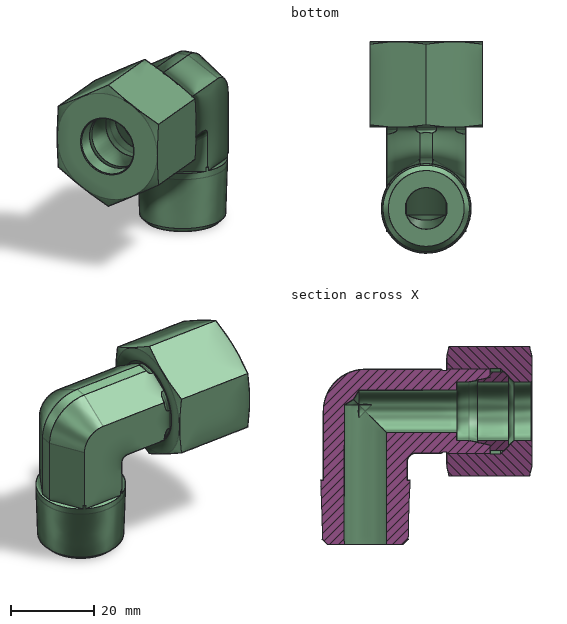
import cadquery as cq
import math


hexagon_half_angle = 30

body_flats = 19.0
waste_radius = body_flats
crown_height = 10.1
inner_corner_fillet = 2.0
bore_diameter = 10.0
bore_overrun = 1.5
drill_tip_angle = 118.0

collar_diameter = 21.5
collar_top = -16.5
collar_height = 1.5
leg_bottom = -32.05
thread_taper = 1 / 16
thread_chamfer = 1.25
corner_relief_height = 1.0

tube_diameter = 14.0
tube_stop = -22.0
stub_end = -30.0
stub_diameter = 20.35
neck_diameter = 19.7
neck_start = -18.9
neck_fillet = 1.0
seat_mouth_diameter = 16.2
seat_half_angle = 12.0

nut_flats = 27.0
nut_face = -40.0
nut_length = 20.5
nut_back = nut_face + nut_length
nut_face_diameter = 26.9
nut_chamfer_angle = 15.0
nut_mouth_chamfer = 0.2
nut_bore_depth = 4.35

ring_face_diameter = 16.5
ring_diameter = 19.0
ring_nose_length = 3.05


def turned_about_y(points):
    """Solid of revolution about the Y axis from (radius, y) points."""
    return cq.Workplane("XY").polyline(points).close().revolve(360, (0, 0, 0), (0, 1, 0))


def turned_about_z(points):
    """Solid of revolution about the Z axis from (radius, z) points."""
    return cq.Workplane("XZ").polyline(points).close().revolve(360, (0, 0, 0), (0, 1, 0))


def hexagon_diameter(flats):
    """Diameter across the corners of a hexagon with the given width across flats."""
    return flats / math.cos(math.radians(hexagon_half_angle))


def make_legs():
    """Two legs of truncated hexagonal section joined by a quarter-turn bend."""
    half_width = body_flats / 2
    corner = hexagon_diameter(body_flats) / 2
    flank = corner / 2
    crown_half_width = (corner - crown_height) / math.tan(math.radians(hexagon_half_angle))
    outer_half = [
        (half_width, flank),
        (crown_half_width, crown_height),
        (-crown_half_width, crown_height),
        (-half_width, flank),
    ]
    inner_half = [(-x, -height) for x, height in outer_half]
    section = outer_half + inner_half

    horizontal_leg = cq.Workplane("XZ").polyline(section).close().extrude(-nut_back)
    vertical_leg = cq.Workplane("XY").polyline(section).close().extrude(collar_top)
    bend = (
        cq.Workplane("XY")
        .polyline([(half_width, 0)] + outer_half + [(-half_width, 0)])
        .close()
        .revolve(90, (0, 0, 0), (1, 0, 0))
    )
    legs = horizontal_leg.union(vertical_leg).union(bend)

    margin = 0.5
    near = -flank - margin
    far = -crown_height - margin
    inner_corner = cq.selectors.BoxSelector((-half_width, far, far), (half_width, near, near))
    return legs.edges(inner_corner).fillet(inner_corner_fillet)


def corner_relief():
    """Outside of a cylinder of the collar's diameter, which trims the corners above the collar."""
    return (
        cq.Workplane("XY", origin=(0, 0, collar_top))
        .circle(waste_radius)
        .circle(collar_diameter / 2)
        .extrude(corner_relief_height)
    )


def neck_groove():
    """Waste around the round neck behind the nut, with a concave fillet towards the leg."""
    neck_radius = neck_diameter / 2
    arc_middle = math.radians(45)
    fillet_end = (neck_radius + neck_fillet, neck_start + neck_fillet)
    fillet_middle = (
        neck_radius + neck_fillet * (1 - math.cos(arc_middle)),
        neck_start + neck_fillet * math.sin(arc_middle),
    )
    return (
        cq.Workplane("XY")
        .moveTo(neck_radius, nut_back)
        .lineTo(neck_radius, neck_start)
        .threePointArc(fillet_middle, fillet_end)
        .lineTo(waste_radius, fillet_end[1])
        .lineTo(waste_radius, nut_back)
        .close()
        .revolve(360, (0, 0, 0), (0, 1, 0))
    )


def threaded_end():
    """Collar and tapered thread envelope with a chamfered lower end."""
    collar_radius = collar_diameter / 2
    collar_bottom = collar_top - collar_height
    chamfer_top = leg_bottom + thread_chamfer
    end_radius = collar_radius - (collar_bottom - chamfer_top) * thread_taper / 2
    return turned_about_z([
        (0, collar_top),
        (collar_radius, collar_top),
        (collar_radius, collar_bottom),
        (end_radius, chamfer_top),
        (end_radius - thread_chamfer, leg_bottom),
        (0, leg_bottom),
    ])


def drilled_bore_profile(opening):
    """(radius, position) points of a blind drilled bore from the opening to its conical tip."""
    radius = bore_diameter / 2
    tip = bore_overrun + radius / math.tan(math.radians(drill_tip_angle / 2))
    return [(0, opening), (radius, opening), (radius, bore_overrun), (0, tip)]


def tube_socket():
    """Tube bore up to its stop, opening through the conical seat of the cutting ring."""
    tube_radius = tube_diameter / 2
    seat_radius = seat_mouth_diameter / 2
    seat_end = stub_end + (seat_radius - tube_radius) / math.tan(math.radians(seat_half_angle))
    return turned_about_y([
        (0, stub_end),
        (seat_radius, stub_end),
        (tube_radius, seat_end),
        (tube_radius, tube_stop),
        (0, tube_stop),
    ])


def make_elbow():
    stub = cq.Workplane("XZ", origin=(0, nut_back, 0)).circle(stub_diameter / 2).extrude(nut_back - stub_end)
    return (
        make_legs()
        .cut(corner_relief())
        .cut(neck_groove())
        .union(stub)
        .union(threaded_end())
        .cut(turned_about_z(drilled_bore_profile(leg_bottom)))
        .cut(turned_about_y(drilled_bore_profile(stub_end)))
        .cut(tube_socket())
    )


def make_nut():
    corner = hexagon_diameter(nut_flats) / 2
    face_radius = nut_face_diameter / 2
    chamfer_length = (corner - face_radius) * math.tan(math.radians(nut_chamfer_angle))
    hexagon = (
        cq.Workplane("XZ", origin=(0, nut_back, 0))
        .polygon(6, 2 * corner)
        .extrude(nut_length)
        .rotate((0, 0, 0), (0, 1, 0), hexagon_half_angle)
    )
    chamfered_envelope = turned_about_y([
        (0, nut_face),
        (face_radius, nut_face),
        (corner, nut_face + chamfer_length),
        (corner, nut_back - chamfer_length),
        (face_radius, nut_back),
        (0, nut_back),
    ])

    bore_radius = tube_diameter / 2
    thread_radius = stub_diameter / 2
    cone_start = nut_face + nut_bore_depth
    bore = turned_about_y([
        (0, nut_face),
        (bore_radius + nut_mouth_chamfer, nut_face),
        (bore_radius, nut_face + nut_mouth_chamfer),
        (bore_radius, cone_start),
        (thread_radius, cone_start + thread_radius - bore_radius),
        (thread_radius, nut_back),
        (0, nut_back),
    ])
    return hexagon.intersect(chamfered_envelope).cut(bore)


def make_cutting_ring():
    """Ring between the nut's 45-degree cone and the elbow's end, its nose in the conical seat."""
    bore_radius = tube_diameter / 2
    face_radius = ring_face_diameter / 2
    ring_radius = ring_diameter / 2
    seat_radius = seat_mouth_diameter / 2
    face = nut_face + nut_bore_depth + face_radius - bore_radius
    nose_radius = seat_radius - ring_nose_length * math.tan(math.radians(seat_half_angle))
    nose_end = stub_end + ring_nose_length
    return turned_about_y([
        (bore_radius, face),
        (face_radius, face),
        (ring_radius, face + ring_radius - face_radius),
        (ring_radius, stub_end),
        (seat_radius, stub_end),
        (nose_radius, nose_end),
        (bore_radius, nose_end),
    ])


elbow = make_elbow()
nut = make_nut()
cutting_ring = make_cutting_ring()

result = cq.Compound.makeCompound([
    elbow.solids().val(),
    nut.solids().val(),
    cutting_ring.solids().val(),
])